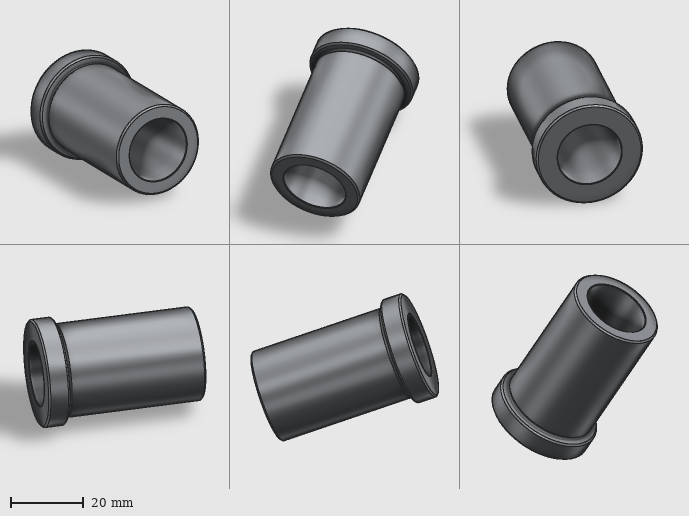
import cadquery as cq

total_length = 45.0
head_diameter = 30.0
head_length = 6.0
body_diameter = 26.0
bore_diameter = 18.0
outer_chamfer = 0.5
bore_chamfer = 0.2
relief_radius = 0.5

head_radius = head_diameter / 2
body_radius = body_diameter / 2
bore_radius = bore_diameter / 2
head_face_x = -total_length / 2
shoulder_x = head_face_x + head_length
tail_face_x = total_length / 2


def make_bushing():
    """Revolve the half section: chamfered head, round relief groove, body and through bore."""
    section = (
        cq.Workplane("XY")
        .moveTo(head_face_x, bore_radius + bore_chamfer)
        .lineTo(head_face_x, head_radius - outer_chamfer)
        .lineTo(head_face_x + outer_chamfer, head_radius)
        .lineTo(shoulder_x - outer_chamfer, head_radius)
        .lineTo(shoulder_x, head_radius - outer_chamfer)
        .lineTo(shoulder_x, body_radius)
        .threePointArc(
            (shoulder_x + relief_radius, body_radius - relief_radius),
            (shoulder_x + 2 * relief_radius, body_radius),
        )
        .lineTo(tail_face_x - outer_chamfer, body_radius)
        .lineTo(tail_face_x, body_radius - outer_chamfer)
        .lineTo(tail_face_x, bore_radius + bore_chamfer)
        .lineTo(tail_face_x - bore_chamfer, bore_radius)
        .lineTo(head_face_x + bore_chamfer, bore_radius)
        .close()
    )
    return section.revolve(360, (0, 0, 0), (1, 0, 0))


result = make_bushing()